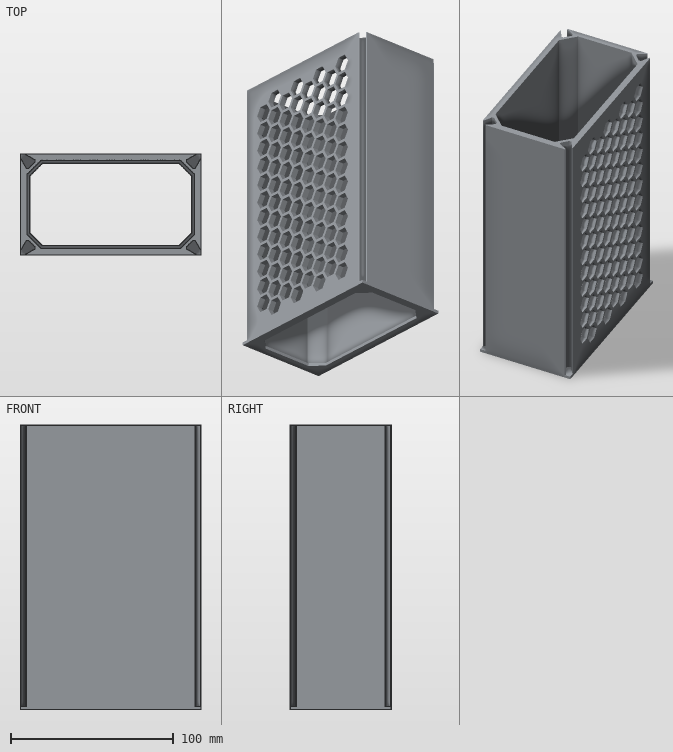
import cadquery as cq
import math

length = 111.3
width = 62.3
height = 175.0

wall = 4.0
cavity_corner = 8.8
ledge = 2.0
base_thickness = 2.0

groove_mouth = 3.8
groove_lip = 0.5
groove_reach = 9.0
groove_end_inset = 3.7
groove_web = 2.0

hex_flats = 10.2
hex_margin = 10.5
hex_columns = 8
hex_rows = 13
hex_pitch = (height - 2 * hex_margin - hex_flats) / (hex_rows - 1)


def box_with_cut_corners(size_x, size_y, corner, bottom, top):
    """Upright block whose four vertical edges are cut at 45 degrees."""
    block = cq.Workplane("XY").workplane(offset=bottom).rect(size_x, size_y).extrude(top - bottom)
    return block.edges("|Z").chamfer(corner)


def corner_groove(side_x, side_y):
    """Dovetail cutter for the corner in the quadrant given by the two signs."""
    corner_x = side_x * length / 2
    corner_y = side_y * width / 2
    floor_inset_sum = 2 * wall + cavity_corner - groove_web * math.sqrt(2)
    floor_end_inset = floor_inset_sum - groove_reach
    half_profile = [
        (groove_mouth, 0),
        (groove_mouth - groove_lip, groove_lip),
        (groove_reach, groove_end_inset),
        (groove_reach, floor_end_inset),
    ]
    mirrored_half = [(dy, dx) for dx, dy in reversed(half_profile)]
    insets = [(0, 0)] + half_profile + mirrored_half
    outline = [(corner_x - side_x * dx, corner_y - side_y * dy) for dx, dy in insets]
    return (
        cq.Workplane("XY")
        .workplane(offset=base_thickness)
        .polyline(outline)
        .close()
        .extrude(height - base_thickness)
    )


def honeycomb():
    """Hexagonal cutters for the +Y wall, every second column half a pitch shorter at each end."""
    column_step = hex_pitch * math.sqrt(3) / 2
    hex_diameter = 2 * hex_flats / math.sqrt(3)
    centres = []
    for column in range(hex_columns):
        x = (column - (hex_columns - 1) / 2) * column_step
        rows = hex_rows - column % 2
        for row in range(rows):
            z = height / 2 + (row - (rows - 1) / 2) * hex_pitch
            centres.append((x, z))
    return (
        cq.Workplane("XZ", origin=(0, width / 2, 0))
        .pushPoints(centres)
        .polygon(6, hex_diameter)
        .extrude(wall)
    )


body = cq.Workplane("XY").rect(length, width).extrude(height)

cavity_x = length - 2 * wall
cavity_y = width - 2 * wall
body = body.cut(box_with_cut_corners(cavity_x, cavity_y, cavity_corner, base_thickness, height))

opening_corner = cavity_corner - ledge * (2 - math.sqrt(2))
body = body.cut(
    box_with_cut_corners(cavity_x - 2 * ledge, cavity_y - 2 * ledge, opening_corner, 0, base_thickness)
)

for side_x in (-1, 1):
    for side_y in (-1, 1):
        body = body.cut(corner_groove(side_x, side_y))

result = body.cut(honeycomb())